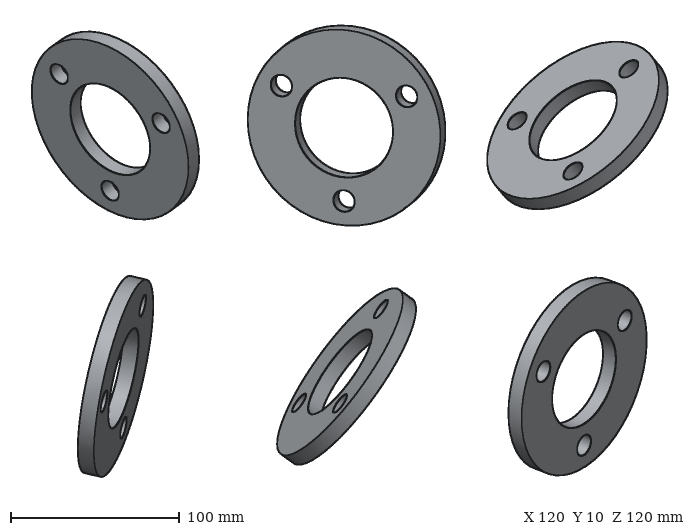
import cadquery as cq

outer_diameter = 120.0
bore_diameter = 60.7
thickness = outer_diameter / 12

hole_count = 3
hole_diameter = 13.0
bolt_circle_radius = 0.75 * outer_diameter / 2
first_hole_angle = -90

hole_chamfer = 0.2

back_plane = cq.Workplane("XZ", origin=(0, thickness / 2, 0))

disc = back_plane.circle(outer_diameter / 2).extrude(thickness)

bore = back_plane.circle(bore_diameter / 2).extrude(thickness)
bolt_holes = (
    back_plane
    .polarArray(bolt_circle_radius, first_hole_angle, 360, hole_count)
    .circle(hole_diameter / 2)
    .extrude(thickness)
)
drilled_disc = disc.cut(bore).cut(bolt_holes)

rim_edges = cq.selectors.RadiusNthSelector(-1)
hole_edges = cq.selectors.StringSyntaxSelector("%CIRCLE") - rim_edges
result = drilled_disc.edges(hole_edges).chamfer(hole_chamfer)